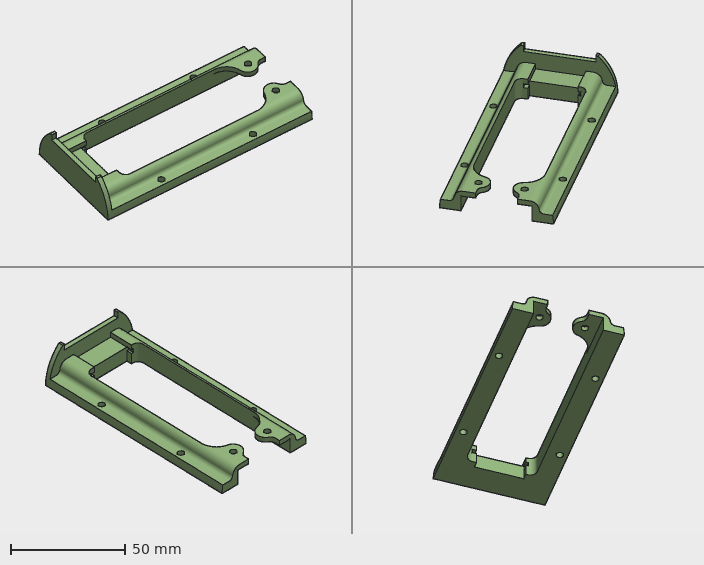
import cadquery as cq
import math

length = 110.2
width = 51.7
height = 19.0
outer_radius = width / 2

rail_inner_x = 16.1
ledge_z = 4.5
deck_top_z = 10.4
shoulder_radius = 4.3
shoulder_x = 15.1
groove_radius = 2.2

plate_thickness = 2.4
notch_half_width = 16.4
notch_z = 15.9

tab_bottom_z = 7.7
tab_inner_x = 9.5
lobe_x = 9.9
lobe_y = 100.9
lobe_radius = 4.6
upper_blend_radius = 3.4
lower_blend_radius = 9.3

block_end_y = 15.4
block_fillet = 3.3
tab_start_y = block_end_y + block_fillet
left_block_x = 11.9
right_block_x = 10.9
slot_bottom_z = 5.7
slot_side_x = 13.0
floor_end_y = 12.6

hole_diameter = 3.2
tab_hole_x = 10.5
tab_hole_y = 101.6
ledge_hole_x = 22.3
ledge_hole_ys = (31.4, 80.7)


def on_circle(center_x, center_y, radius, degrees):
    """Point on a circle at the given angle from the +X direction."""
    angle = math.radians(degrees)
    return (center_x + radius * math.cos(angle), center_y + radius * math.sin(angle))


def other_leg(hypotenuse, leg):
    """Length of the second leg of a right triangle."""
    return math.sqrt(hypotenuse**2 - leg**2)


def box(x_min, x_max, y_min, y_max, z_min, z_max):
    """Axis-aligned block between the given limits."""
    size = (x_max - x_min, y_max - y_min, z_max - z_min)
    return cq.Workplane("XY").box(*size, centered=False).translate((x_min, y_min, z_min))


def outer_point(z):
    """Point on the outer circle at height z."""
    return (other_leg(outer_radius, z), z)


def make_profile():
    """Right rail with its deck: outer arc, ledge, concave corner, rounded shoulder, flat deck."""
    groove_z = ledge_z + groove_radius
    shoulder_z = deck_top_z - shoulder_radius
    meeting_x = shoulder_x + other_leg(shoulder_radius, groove_z - shoulder_z)
    groove_x = meeting_x + groove_radius
    outline = (
        cq.Workplane("XZ")
        .moveTo(0, 0)
        .lineTo(outer_radius, 0)
        .threePointArc(outer_point(ledge_z / 2), outer_point(ledge_z))
        .lineTo(groove_x, ledge_z)
        .threePointArc(on_circle(groove_x, groove_z, groove_radius, 225), (meeting_x, groove_z))
        .threePointArc(
            on_circle(shoulder_x, shoulder_z, shoulder_radius, 45), (shoulder_x, deck_top_z)
        )
        .lineTo(0, deck_top_z)
        .close()
    )
    return outline.extrude(-length)


def make_tab_opening(block_x):
    """Clearance between the centre plane and the screw tab, rail and corner block.

    The tab is a round lobe blended tangentially into its straight end and into the rail.
    """
    lower_x = rail_inner_x - lower_blend_radius
    lower_y = lobe_y - other_leg(lobe_radius + lower_blend_radius, lobe_x - lower_x)
    upper_x = tab_inner_x - upper_blend_radius
    upper_y = lobe_y + other_leg(lobe_radius + upper_blend_radius, lobe_x - upper_x)
    to_lower = math.degrees(math.atan2(lower_y - lobe_y, lower_x - lobe_x))
    to_upper = math.degrees(math.atan2(upper_y - lobe_y, upper_x - lobe_x))
    return (
        cq.Workplane("XY")
        .moveTo(0, length)
        .lineTo(tab_inner_x, length)
        .lineTo(tab_inner_x, upper_y)
        .threePointArc(
            on_circle(upper_x, upper_y, upper_blend_radius, (to_upper - 180) / 2),
            on_circle(lobe_x, lobe_y, lobe_radius, to_upper),
        )
        .threePointArc(
            (lobe_x - lobe_radius, lobe_y), on_circle(lobe_x, lobe_y, lobe_radius, to_lower)
        )
        .threePointArc(
            on_circle(lower_x, lower_y, lower_blend_radius, (to_lower + 180) / 2),
            (rail_inner_x, lower_y),
        )
        .lineTo(rail_inner_x, block_end_y + block_fillet)
        .threePointArc(
            on_circle(rail_inner_x - block_fillet, block_end_y + block_fillet, block_fillet, -45),
            (rail_inner_x - block_fillet, block_end_y),
        )
        .lineTo(block_x, block_end_y)
        .lineTo(block_x, 0)
        .lineTo(0, 0)
        .close()
        .extrude(deck_top_z)
    )


def make_side(block_x):
    """Right half of the frame, without end plate and floor."""
    tab_underside = box(0, rail_inner_x, tab_start_y, length, 0, tab_bottom_z)
    block_slot = box(0, slot_side_x, 0, block_end_y, slot_bottom_z, tab_bottom_z)
    tab_hole = [(tab_hole_x, tab_hole_y)]
    ledge_holes = [(ledge_hole_x, y) for y in ledge_hole_ys]
    holes = (
        cq.Workplane("XY")
        .pushPoints(tab_hole + ledge_holes)
        .circle(hole_diameter / 2)
        .extrude(height)
    )
    return (
        make_profile()
        .cut(make_tab_opening(block_x))
        .cut(tab_underside)
        .cut(block_slot)
        .cut(holes)
    )


def make_end_plate():
    """Plate closing the y = 0 end: a segment of the outer circle with a notch in its top."""
    top_x = outer_point(height)[0]
    middle_x, middle_z = outer_point(height / 2)
    plate = (
        cq.Workplane("XZ")
        .moveTo(-outer_radius, 0)
        .lineTo(outer_radius, 0)
        .threePointArc((middle_x, middle_z), (top_x, height))
        .lineTo(-top_x, height)
        .threePointArc((-middle_x, middle_z), (-outer_radius, 0))
        .close()
        .extrude(-plate_thickness)
    )
    notch = box(-notch_half_width, notch_half_width, 0, plate_thickness, notch_z, height)
    return plate.cut(notch)


right_side = make_side(right_block_x)
left_side = make_side(left_block_x).mirror("YZ")
floor = box(-slot_side_x, slot_side_x, 0, floor_end_y, 0, tab_bottom_z)

result = right_side.union(left_side).union(floor).union(make_end_plate())